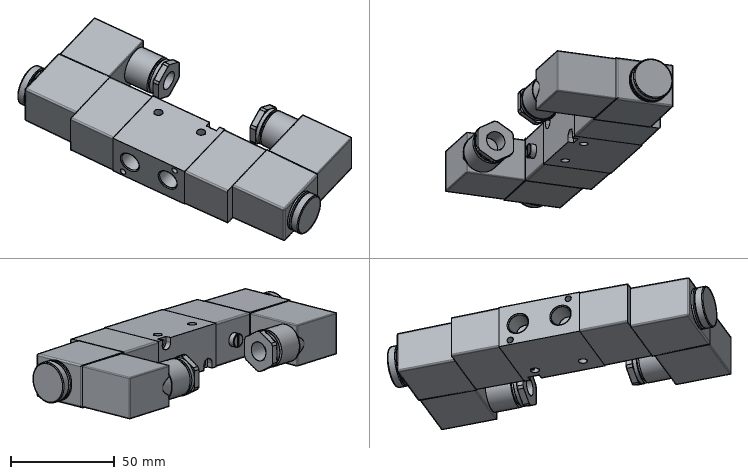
import cadquery as cq
import math


body_length = 41.7
body_front = -17.7
body_back = 17.3
body_height = 22.0
port_spacing = 22.0
port_bore_radius = 5.0
port_chamfer = 0.5
port_floor_radius = 4.4
port_depth = 9.8
mount_hole_spacing = 24.7
mount_hole_y = 9.3
mount_hole_radius = 2.1
tie_hole_offset_x = 15.0
tie_hole_offset_z = 8.5
tie_hole_radius = 1.55
head_recess_radius = 3.0
head_recess_depth = 3.0

pilot_inner_x = body_length / 2
pilot_outer_x = 45.5
pilot_draft = 0.2
edge_round = 0.8
screw_x = 33.5
screw_radius = 3.5
screw_rise = 3.1
screw_slot_width = 0.8
screw_slot_depth = 1.1
screw_chamfer = 0.3

coil_outer_x = 75.4
coil_front = -13.0
coil_back = 17.0
coil_height = 22.0
coil_draft = 0.25

knob_end_x = 81.4
knob_radius = 10.1
knob_inner_x = 77.0
knob_neck_radius = 6.8
knob_flange_x = 76.4
knob_chamfer = 0.5

connector_inner_x = 46.0
connector_outer_x = 74.7
connector_back = 47.2
connector_height = 20.8
connector_round = 0.5
gland_y = 39.7
collar_radius = 9.3
collar_end_x = 33.0
gland_groove_radius = 8.0
gland_nut_x = 31.7
gland_nut_radius = 9.1
hexagon_x = 29.8
gland_end_x = 26.5
hexagon_across_flats = 2 * gland_nut_radius
hexagon_corner_radius = 10.1
cable_hole_radius = 4.7
cable_hole_depth = 9.8
taper_start_radius = 9.0
taper_end_radius = 7.3
taper_length = 5.5


def block(x_range, y_range, z_range):
    """Rectangular block between pairs of limits."""
    (x0, x1), (y0, y1), (z0, z1) = x_range, y_range, z_range
    return cq.Workplane("XY").box(x1 - x0, y1 - y0, z1 - z0, centered=False).translate((x0, y0, z0))


def x_cylinder(x0, x1, radius, y=0.0):
    """Cylinder along X from x0 to x1."""
    return cq.Workplane("YZ", origin=(x0, y, 0)).circle(radius).extrude(x1 - x0)


def y_cylinder(x, z, y0, y1, radius):
    """Cylinder along Y from y0 to y1."""
    return cq.Workplane("XZ", origin=(x, y0, z)).circle(radius).extrude(y0 - y1)


def cone(start_radius, end_radius, length, start, direction):
    """Truncated cone running from a start point along a direction."""
    solid = cq.Solid.makeCone(
        start_radius, end_radius, length, pnt=cq.Vector(start), dir=cq.Vector(direction)
    )
    return cq.Workplane("XY").add(solid)


def drafted_block(x0, x1, front, back, height, draft):
    """Block along X that shrinks by the draft on its four long sides towards x1."""
    middle_y = (front + back) / 2
    width = back - front
    return (
        cq.Workplane("YZ", origin=(x0, middle_y, 0))
        .rect(width, height)
        .workplane(offset=x1 - x0)
        .rect(width - 2 * draft, height - 2 * draft)
        .loft(ruled=True)
    )


def head_recess(x, z):
    """U-shaped screw-head recess in the back face, open to the nearer of the top and bottom."""
    start_y = body_back - head_recess_depth
    bore = y_cylinder(x, z, start_y, body_back, head_recess_radius)
    outer_z = math.copysign(body_height / 2, z)
    opening = block(
        (x - head_recess_radius, x + head_recess_radius),
        (start_y, body_back),
        (min(z, outer_z), max(z, outer_z)),
    )
    return bore.union(opening)


def port(x):
    """Blind port with a tapered bore and a chamfered mouth in the front face."""
    start = (x, body_front, 0)
    inward = (0, 1, 0)
    bore = cone(port_bore_radius, port_floor_radius, port_depth, start, inward)
    mouth_radius = port_bore_radius + port_chamfer
    mouth = cone(mouth_radius, mouth_radius - 2 * port_chamfer, 2 * port_chamfer, start, inward)
    return bore.union(mouth)


def make_valve_body():
    half_length = body_length / 2
    half_height = body_height / 2
    body = block((-half_length, half_length), (body_front, body_back), (-half_height, half_height))
    for side in (-1, 1):
        body = body.cut(port(side * port_spacing / 2))

        mount_hole = (
            cq.Workplane("XY", origin=(side * mount_hole_spacing / 2, mount_hole_y, -half_height))
            .circle(mount_hole_radius)
            .extrude(body_height)
        )
        body = body.cut(mount_hole)

        tie_x = side * tie_hole_offset_x
        tie_z = side * tie_hole_offset_z
        body = body.cut(y_cylinder(tie_x, tie_z, body_front, body_back, tie_hole_radius))
        body = body.cut(head_recess(tie_x, tie_z))
    return body


def make_override_screw():
    """Slotted manual-override screw standing on the back of the pilot head."""
    top_y = body_back + screw_rise
    foot_y = body_back - edge_round
    screw = y_cylinder(screw_x, 0, foot_y, top_y, screw_radius).faces(">Y").chamfer(screw_chamfer)
    slot = block(
        (screw_x - screw_slot_width / 2, screw_x + screw_slot_width / 2),
        (top_y - screw_slot_depth, top_y),
        (-screw_radius, screw_radius),
    )
    return screw.cut(slot)


def make_pilot_head():
    head = drafted_block(
        pilot_inner_x, pilot_outer_x, body_front, body_back, body_height, pilot_draft
    )
    head = head.edges("not(|Y or |Z)").fillet(edge_round)
    return head.union(make_override_screw())


def make_coil():
    coil = drafted_block(pilot_outer_x, coil_outer_x, coil_front, coil_back, coil_height, coil_draft)
    front_long_edges = coil.faces("<Y").edges("not |Z")
    outer_edges = coil.faces(">X").edges()
    return coil.newObject(front_long_edges.vals() + outer_edges.vals()).fillet(edge_round)


def make_knob():
    """Round retaining nut: flange, neck and chamfered disc."""
    flange = x_cylinder(coil_outer_x, knob_flange_x, knob_radius)
    neck = x_cylinder(knob_flange_x, knob_inner_x, knob_neck_radius)
    disc = x_cylinder(knob_inner_x, knob_end_x, knob_radius).faces("<X or >X").chamfer(knob_chamfer)
    return flange.union(neck).union(disc)


def make_connector():
    half_height = connector_height / 2
    box = block(
        (connector_inner_x, connector_outer_x),
        (coil_back - edge_round, connector_back),
        (-half_height, half_height),
    )
    return box.edges("|Y or >Y").fillet(connector_round)


def make_cable_gland():
    taper_start = (connector_inner_x, gland_y, 0)
    taper = cone(taper_start_radius, taper_end_radius, taper_length, taper_start, (1, 0, 0))
    collar = x_cylinder(collar_end_x, connector_inner_x, collar_radius, gland_y)
    groove = x_cylinder(gland_nut_x, collar_end_x, gland_groove_radius, gland_y)
    round_nut = x_cylinder(hexagon_x, gland_nut_x, gland_nut_radius, gland_y)

    across_corners = hexagon_across_flats / math.cos(math.pi / 6)
    hexagon = (
        cq.Workplane("YZ", origin=(gland_end_x, gland_y, 0))
        .transformed(rotate=(0, 0, 90))
        .polygon(6, across_corners)
        .extrude(hexagon_x - gland_end_x)
        .intersect(x_cylinder(gland_end_x, hexagon_x, hexagon_corner_radius, gland_y))
    )
    gland = taper.union(collar).union(groove).union(round_nut).union(hexagon)
    cable_hole = x_cylinder(gland_end_x, gland_end_x + cable_hole_depth, cable_hole_radius, gland_y)
    return gland.cut(cable_hole)


def make_solenoid():
    return make_coil().union(make_knob()).union(make_connector()).union(make_cable_gland())


def on_side(part, side):
    """The part as modelled on the +X side, or its mirror image on the -X side."""
    return part if side > 0 else part.mirror("YZ")


valve_body = make_valve_body()
pilot_heads = []
solenoids = []
for end in (-1, 1):
    pilot_heads.append(on_side(make_pilot_head(), end).val())
    solenoids.append(on_side(make_solenoid(), end).val())

result = cq.Compound.makeCompound([valve_body.val(), *pilot_heads, *solenoids])